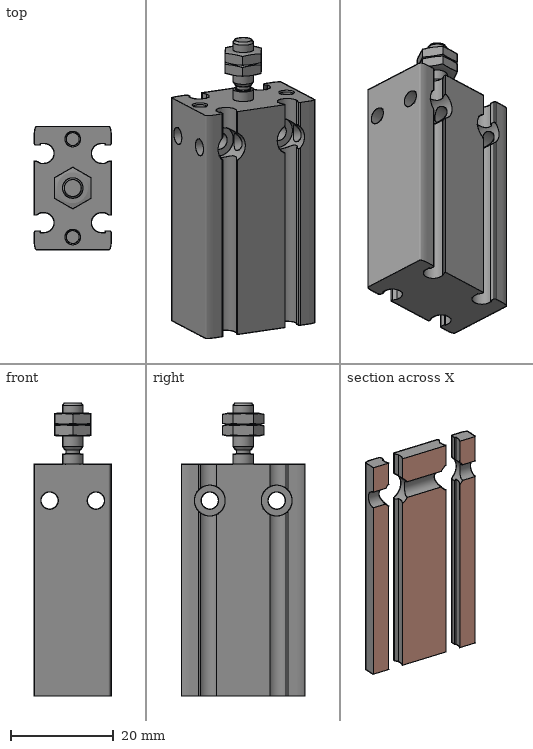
import cadquery as cq
import math

TOTAL_HEIGHT = 57.0
BODY_WIDTH = 15.0
BODY_LENGTH = 24.0
BODY_HEIGHT = 45.1
HALF_WIDTH = BODY_WIDTH / 2
HALF_LENGTH = BODY_LENGTH / 2

CORNER_RADIUS = 3.7
CORNER_LENGTH = 1.5
CORNER_EDGE_RADIUS = 0.35

SLOT_DIAMETER = 3.8
SLOT_Y = 6.7
SLOT_AXIS_DEPTH = 1.95
SLOT_INNER_Y = 5.25
SLOT_OUTER_Y = 8.3
INNER_LIP_DEPTH = 0.45
INNER_SLOPE_DEPTH = 1.25
OUTER_LIP_DEPTH = 1.2
LIP_CHAMFER_DEPTH = 0.15
LIP_CHAMFER_WIDTH = 0.35

CROSS_HOLE_DIAMETER = 3.3
CROSS_HOLE_Z = BODY_HEIGHT - 7.05
END_HOLE_X = 4.5
SIDE_HOLE_Y = 6.5
COUNTERBORE_DIAMETER = 6.0
COUNTERBORE_DEPTH = 5.0

TAP_DIAMETER = 2.5
TAP_Y = 9.5
TAP_DEPTH = 6.0
TAP_COUNTERSINK_DIAMETER = 3.0
TAP_COUNTERSINK_ANGLE = 90

ROD_RADIUS = 2.0
NECK_RADIUS = 1.34
NECK_FLARE = 0.15
NECK_BOTTOM_Z = 47.0
NECK_TOP_Z = 47.9
SHOULDER_RADIUS = 1.55
SHOULDER_HEIGHT = 0.7
ROD_TIP_RADIUS = 1.65
ROD_TIP_HEIGHT = 0.5

NUT_ACROSS_FLATS = 7.0
NUT_HEIGHT = 2.2
NUT_COUNT = 2
NUT_STACK_TOP_Z = 55.0
NUT_FACE_DIAMETER = 6.0
NUT_CHAMFER_DROP = 0.2


def make_profile():
    """Rectangular block whose vertical corners are shallow arcs with rounded edges."""
    corner_inset = CORNER_RADIUS - math.sqrt(CORNER_RADIUS**2 - CORNER_LENGTH**2)
    half_angle = math.asin(CORNER_LENGTH / CORNER_RADIUS) / 2
    middle_inset = CORNER_RADIUS * (1 - math.cos(half_angle))
    tangent_y = HALF_LENGTH - CORNER_LENGTH
    middle_y = tangent_y + CORNER_RADIUS * math.sin(half_angle)
    end_x = HALF_WIDTH - corner_inset
    middle_x = HALF_WIDTH - middle_inset
    return (
        cq.Workplane("XY")
        .moveTo(HALF_WIDTH, -tangent_y)
        .lineTo(HALF_WIDTH, tangent_y)
        .threePointArc((middle_x, middle_y), (end_x, HALF_LENGTH))
        .lineTo(-end_x, HALF_LENGTH)
        .threePointArc((-middle_x, middle_y), (-HALF_WIDTH, tangent_y))
        .lineTo(-HALF_WIDTH, -tangent_y)
        .threePointArc((-middle_x, -middle_y), (-end_x, -HALF_LENGTH))
        .lineTo(end_x, -HALF_LENGTH)
        .threePointArc((middle_x, -middle_y), (HALF_WIDTH, -tangent_y))
        .close()
        .extrude(BODY_HEIGHT)
        .edges("|Z")
        .edges("<Y or >Y")
        .fillet(CORNER_EDGE_RADIUS)
    )


def make_slot():
    """Cutter for the slot on the +X side at +Y: a round-bottomed channel with a lipped mouth."""
    slot_radius = SLOT_DIAMETER / 2
    axis_x = HALF_WIDTH - SLOT_AXIS_DEPTH
    inner_wall_y = SLOT_Y - slot_radius
    outer_wall_y = SLOT_Y + slot_radius
    outer_lip_x = HALF_WIDTH - OUTER_LIP_DEPTH
    return (
        cq.Workplane("XY")
        .moveTo(HALF_WIDTH, SLOT_INNER_Y)
        .lineTo(HALF_WIDTH - INNER_LIP_DEPTH, SLOT_INNER_Y)
        .lineTo(HALF_WIDTH - INNER_SLOPE_DEPTH, inner_wall_y)
        .lineTo(axis_x, inner_wall_y)
        .threePointArc((axis_x - slot_radius, SLOT_Y), (axis_x, outer_wall_y))
        .lineTo(outer_lip_x, outer_wall_y)
        .lineTo(outer_lip_x, SLOT_OUTER_Y)
        .lineTo(HALF_WIDTH - LIP_CHAMFER_DEPTH, SLOT_OUTER_Y)
        .lineTo(HALF_WIDTH, SLOT_OUTER_Y + LIP_CHAMFER_WIDTH)
        .close()
        .extrude(BODY_HEIGHT)
    )


def cut_slots(body):
    """One slot in each quadrant."""
    right_slot = make_slot()
    left_slot = right_slot.mirror("YZ")
    for slot in (right_slot, left_slot):
        body = body.cut(slot).cut(slot.mirror("XZ"))
    return body


def cut_end_holes(body):
    """Plain holes through the body along Y."""
    holes = (
        cq.Workplane("XZ", origin=(0, HALF_LENGTH, CROSS_HOLE_Z))
        .pushPoints([(-END_HOLE_X, 0), (END_HOLE_X, 0)])
        .circle(CROSS_HOLE_DIAMETER / 2)
        .extrude(BODY_LENGTH)
    )
    return body.cut(holes)


def cut_side_holes(body):
    """Holes through the body along X, counterbored from both sides."""
    for y in (-SIDE_HOLE_Y, SIDE_HOLE_Y):
        side = cq.Workplane("YZ", origin=(-HALF_WIDTH, y, CROSS_HOLE_Z))
        body = body.cut(side.circle(CROSS_HOLE_DIAMETER / 2).extrude(BODY_WIDTH))
        counterbore = side.circle(COUNTERBORE_DIAMETER / 2).extrude(COUNTERBORE_DEPTH)
        body = body.cut(counterbore).cut(counterbore.mirror("YZ"))
    return body


def cut_tapped_holes(body):
    """Blind holes in the top face with a countersunk rim."""
    return (
        body.faces(">Z")
        .workplane(origin=(0, 0, BODY_HEIGHT))
        .pushPoints([(0, -TAP_Y), (0, TAP_Y)])
        .cskHole(TAP_DIAMETER, TAP_COUNTERSINK_DIAMETER, TAP_COUNTERSINK_ANGLE, depth=TAP_DEPTH)
    )


def make_housing():
    body = cut_slots(make_profile())
    body = cut_end_holes(body)
    body = cut_side_holes(body)
    return cut_tapped_holes(body)


def make_rod():
    """Rod standing on the housing, with a neck flared at its foot and a conical shoulder above it."""
    cone_top_z = NECK_TOP_Z + SHOULDER_HEIGHT
    return (
        cq.Workplane("XZ")
        .polyline([
            (0, BODY_HEIGHT),
            (ROD_RADIUS, BODY_HEIGHT),
            (ROD_RADIUS, NECK_BOTTOM_Z),
            (NECK_RADIUS + NECK_FLARE, NECK_BOTTOM_Z),
            (NECK_RADIUS, NECK_BOTTOM_Z + NECK_FLARE),
            (NECK_RADIUS, NECK_TOP_Z),
            (SHOULDER_RADIUS, NECK_TOP_Z),
            (ROD_RADIUS, cone_top_z),
            (ROD_RADIUS, TOTAL_HEIGHT - ROD_TIP_HEIGHT),
            (ROD_TIP_RADIUS, TOTAL_HEIGHT),
            (0, TOTAL_HEIGHT),
        ])
        .close()
        .revolve(360, (0, 0), (0, 1))
    )


def make_nut(bottom_z):
    """Hexagon nut with corners along Y and both faces chamfered by a cone."""
    corner_radius = NUT_ACROSS_FLATS / math.sqrt(3)
    face_radius = NUT_FACE_DIAMETER / 2
    hexagon = (
        cq.Workplane("XY")
        .polygon(6, 2 * corner_radius)
        .extrude(NUT_HEIGHT)
        .rotate((0, 0, 0), (0, 0, 1), 90)
    )
    chamfer_envelope = (
        cq.Workplane("XZ")
        .polyline([
            (ROD_RADIUS, 0),
            (face_radius, 0),
            (corner_radius, NUT_CHAMFER_DROP),
            (corner_radius, NUT_HEIGHT - NUT_CHAMFER_DROP),
            (face_radius, NUT_HEIGHT),
            (ROD_RADIUS, NUT_HEIGHT),
        ])
        .close()
        .revolve(360, (0, 0), (0, 1))
    )
    return hexagon.intersect(chamfer_envelope).translate((0, 0, bottom_z))


housing = make_housing()
rod = make_rod()
nuts = [make_nut(NUT_STACK_TOP_Z - (i + 1) * NUT_HEIGHT) for i in range(NUT_COUNT)]

result = cq.Compound.makeCompound([housing.val(), rod.val(), *[nut.val() for nut in nuts]])